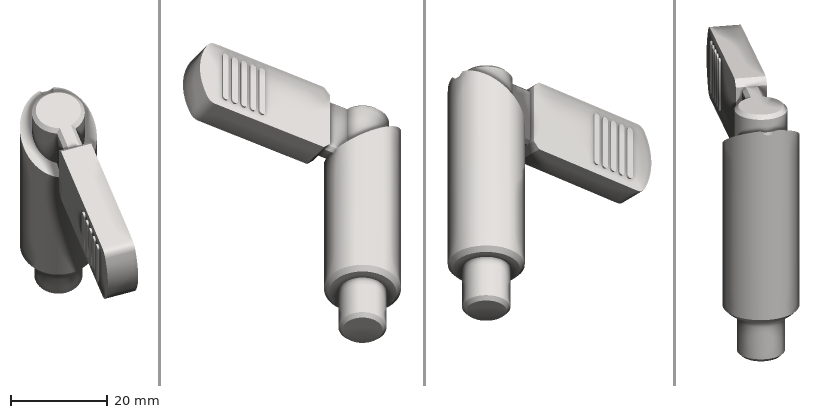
import cadquery as cq

TOTAL_HEIGHT = 57.5
TOTAL_LENGTH = 50.0

SLEEVE_DIAMETER = 16.0
SLEEVE_BOTTOM = 10.0
SLEEVE_CHAMFER = 1.0
CAM_HIGH = 53.8
CAM_LOW = 43.45
DETENT_RADIUS = 1.8
DETENT_FLOOR = 52.8

PIN_DIAMETER = 10.0
HUB_DIAMETER = 11.0
ARM_THICKNESS = 4.0
PLUNGER_CHAMFER = 0.8

GRIP_START = 10.1
GRIP_THICKNESS = 6.6
GRIP_HEIGHT = SLEEVE_DIAMETER
GRIP_CHAMFER = 1.45
GRIP_END_RADIUS = 13.8
GRIP_CORNER_RADIUS = 2.3

RIB_COUNT = 5
RIB_PITCH = 2.25
RIB_WIDTH = 1.4
RIB_LENGTH = 12.1
RIB_RELIEF = 0.43
RIB_CENTER_X = 31.45

SLEEVE_RADIUS = SLEEVE_DIAMETER / 2
GRIP_END = TOTAL_LENGTH - SLEEVE_RADIUS
GRIP_BOTTOM = TOTAL_HEIGHT - GRIP_HEIGHT
GRIP_CENTER_Z = TOTAL_HEIGHT - GRIP_HEIGHT / 2
ARM_TOP = TOTAL_HEIGHT - GRIP_CHAMFER
ARM_BOTTOM = GRIP_BOTTOM + GRIP_CHAMFER
ARM_HEIGHT = ARM_TOP - ARM_BOTTOM


def make_plunger():
    """Stepped round plunger with the flat lever arm that leaves its hub along +X."""
    pin = (
        cq.Workplane("XY")
        .circle(PIN_DIAMETER / 2)
        .extrude(ARM_TOP - PLUNGER_CHAMFER)
        .faces("<Z")
        .chamfer(PLUNGER_CHAMFER)
    )
    hub = (
        cq.Workplane("XY", origin=(0, 0, ARM_BOTTOM))
        .circle(HUB_DIAMETER / 2)
        .extrude(ARM_HEIGHT)
        .faces(">Z")
        .chamfer(PLUNGER_CHAMFER)
    )
    arm = (
        cq.Workplane("XY", origin=(0, 0, ARM_BOTTOM))
        .box(GRIP_START, ARM_THICKNESS, ARM_HEIGHT, centered=(False, True, False))
        .edges("|X")
        .chamfer(PLUNGER_CHAMFER)
    )
    return hub.union(arm).union(pin)


def make_sleeve(plunger):
    """Guide sleeve with a slanted cam top, a detent and a seat matching the plunger."""
    sleeve = (
        cq.Workplane("XY", origin=(0, 0, SLEEVE_BOTTOM))
        .circle(SLEEVE_RADIUS)
        .extrude(CAM_HIGH - SLEEVE_BOTTOM)
        .faces("<Z")
        .chamfer(SLEEVE_CHAMFER)
    )
    above_cam = (
        cq.Workplane("XZ")
        .moveTo(-SLEEVE_RADIUS, CAM_HIGH)
        .lineTo(SLEEVE_RADIUS, CAM_LOW)
        .lineTo(SLEEVE_RADIUS, CAM_HIGH)
        .close()
        .extrude(SLEEVE_RADIUS, both=True)
    )
    detent = (
        cq.Workplane("YZ", origin=(-SLEEVE_RADIUS, 0, DETENT_FLOOR + DETENT_RADIUS))
        .circle(DETENT_RADIUS)
        .extrude(SLEEVE_RADIUS)
    )
    return sleeve.cut(above_cam).cut(detent).cut(plunger)


def make_ribs():
    """Row of upright round-ended ribs that stand out of both grip faces."""
    first_x = RIB_CENTER_X - RIB_PITCH * (RIB_COUNT - 1) / 2
    centers = [(first_x + i * RIB_PITCH, GRIP_CENTER_Z) for i in range(RIB_COUNT)]
    return (
        cq.Workplane("XZ")
        .pushPoints(centers)
        .slot2D(RIB_LENGTH, RIB_WIDTH, angle=90)
        .extrude(GRIP_THICKNESS / 2 + RIB_RELIEF, both=True)
    )


def make_grip():
    """Flat grip with chamfered inner corners, a rounded outer end and finger ribs."""
    half_height = GRIP_HEIGHT / 2
    arc_center_x = GRIP_END - GRIP_END_RADIUS
    arc_start_x = arc_center_x + (GRIP_END_RADIUS**2 - half_height**2) ** 0.5
    blade = (
        cq.Workplane("XZ")
        .moveTo(GRIP_START, GRIP_BOTTOM)
        .lineTo(arc_start_x, GRIP_BOTTOM)
        .threePointArc((GRIP_END, GRIP_CENTER_Z), (arc_start_x, TOTAL_HEIGHT))
        .lineTo(GRIP_START, TOTAL_HEIGHT)
        .close()
        .extrude(GRIP_THICKNESS / 2, both=True)
    )
    blade = blade.edges("|Y").edges("<X").chamfer(GRIP_CHAMFER)
    blade = blade.edges("|Y").edges(">X").fillet(GRIP_CORNER_RADIUS)
    return blade.union(make_ribs())


plunger = make_plunger()
sleeve = make_sleeve(plunger)
grip = make_grip()

result = cq.Compound.makeCompound([body.solids().val() for body in (sleeve, plunger, grip)])